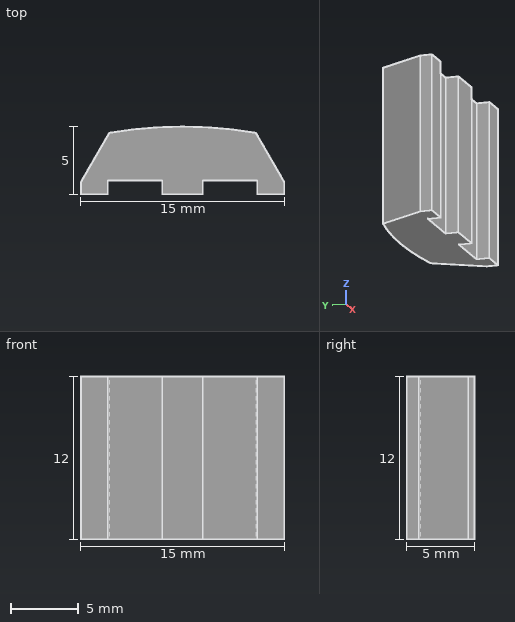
import cadquery as cq
import math

width = 15.0
depth = 5.0
height = 12.0
groove_width = 4.0
groove_depth = 1.0
center_rib_width = 3.0
side_wall_depth = 0.9
slope_angle = 60.0
shoulder_half_width = 5.4

half_width = width / 2
slope_run = half_width - shoulder_half_width
shoulder_y = side_wall_depth + slope_run * math.tan(math.radians(slope_angle))
groove_center_x = (center_rib_width + groove_width) / 2


def make_body():
    """Upright prism with sloped sides and a curved back."""
    return (
        cq.Workplane("XY")
        .moveTo(-half_width, 0)
        .lineTo(half_width, 0)
        .lineTo(half_width, side_wall_depth)
        .lineTo(shoulder_half_width, shoulder_y)
        .threePointArc((0, depth), (-shoulder_half_width, shoulder_y))
        .lineTo(-half_width, side_wall_depth)
        .close()
        .extrude(height)
    )


def make_groove(center_x):
    """Full-height cutter for one groove in the flat face."""
    return (
        cq.Workplane("XY")
        .center(center_x, groove_depth / 2)
        .rect(groove_width, groove_depth)
        .extrude(height)
    )


result = make_body()
for side in (-1, 1):
    result = result.cut(make_groove(side * groove_center_x))